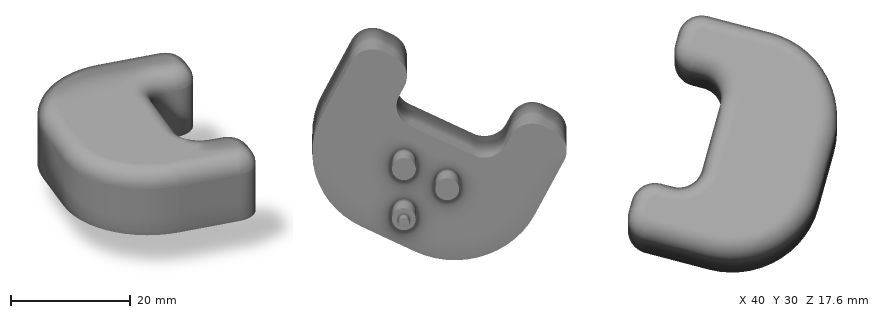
import cadquery as cq

width = 40.0
depth = 30.0
body_height = 12.0
edge_round = 3.0
front_corner_radius = 15.0
arm_width = 10.0
arm_corner_radius = 4.0
notch_depth = 10.0
notch_corner_radius = 4.0

pin_diameter = 4.0
pin_length = 4.0
pin_spacing = 8.1
rear_pin_y = -1.0
front_pin_y = rear_pin_y - pin_spacing
tip_diameter = 1.75
tip_length = 1.6


def make_body():
    block = (
        cq.Workplane("XY")
        .rect(width, depth)
        .extrude(body_height)
    )
    block = block.edges("|Z and <Y").fillet(front_corner_radius)

    notch = (
        cq.Workplane("XY")
        .center(0, depth / 2 - notch_depth / 2)
        .rect(width - 2 * arm_width, notch_depth)
        .extrude(body_height)
        .edges("|Z and <Y")
        .fillet(notch_corner_radius)
    )
    block = block.cut(notch)
    block = block.edges("|Z and >Y").fillet(arm_corner_radius)
    return block.faces(">Z").edges().fillet(edge_round)


def make_pins():
    pin_places = [
        (-pin_spacing / 2, rear_pin_y),
        (pin_spacing / 2, rear_pin_y),
        (0, front_pin_y),
    ]
    return (
        cq.Workplane("XY")
        .pushPoints(pin_places)
        .circle(pin_diameter / 2)
        .extrude(-pin_length)
    )


def make_tip():
    return (
        cq.Workplane("XY")
        .workplane(offset=-pin_length)
        .center(0, front_pin_y)
        .circle(tip_diameter / 2)
        .extrude(-tip_length)
    )


result = make_body().union(make_pins()).union(make_tip())